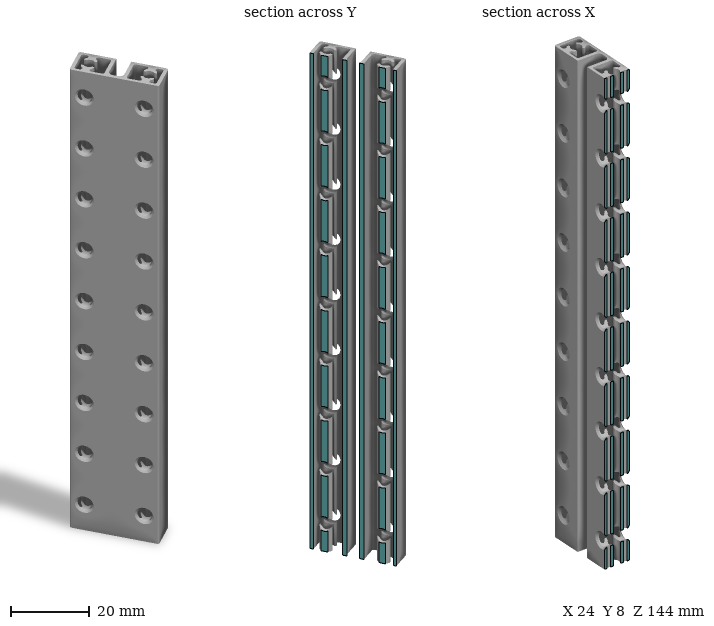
import cadquery as cq
import math

length = 144.0
holes_per_row = 9
pitch = length / holes_per_row
width = 1.5 * pitch
depth = 0.5 * pitch
cell_offset = pitch / 2

wall = 1.0
skin = 0.79
corner_round = 0.5
slot_width = 4.0
slot_round = 1.3
cavity_round = 0.6

channel_radius = 1.6
stem_end_half_width = 1.5
stem_waist_half_width = 1.0
flange_half_width = 1.7
flange_tip = 1.08
flange_shoulder = 1.6
flange_root = 2.0

hole_diameter = 4.0
countersink_diameter = 5.0
countersink_depth = (countersink_diameter - hole_diameter) / 2


def make_shell():
    """Rounded outer bar with the open slot in its back face."""
    bar = cq.Workplane("XY").rect(width, depth).extrude(length)
    bar = bar.edges("|Z").fillet(corner_round)
    slot_cut = (
        cq.Workplane("XY")
        .center(0, wall)
        .rect(slot_width, depth)
        .extrude(length)
        .edges("|Z and <Y")
        .fillet(slot_round)
    )
    return bar.cut(slot_cut)


def make_cavity(side):
    """Hollow of one cell; side is -1 or 1."""
    inner_end = slot_width / 2 + wall
    outer_end = width / 2 - wall
    return (
        cq.Workplane("XY")
        .center(side * (inner_end + outer_end) / 2, 0)
        .rect(outer_end - inner_end, depth - 2 * skin)
        .extrude(length)
        .edges("|Z")
        .fillet(cavity_round)
    )


def make_rib(side, facing):
    """Flanged rib from the back (facing = 1) or front (facing = -1) wall of a cell."""
    wall_face = facing * (depth / 2 - skin)
    buried_end = facing * (depth - skin) / 2
    stem_foot = facing * flange_root
    shoulder = facing * flange_shoulder
    tip = facing * flange_tip
    waist_point = (stem_waist_half_width, (wall_face + stem_foot) / 2)
    groove_half_width = math.sqrt(channel_radius**2 - flange_tip**2)
    groove_angle = math.asin(groove_half_width / channel_radius) / 2
    groove_middle = (
        channel_radius * math.sin(groove_angle),
        facing * channel_radius * math.cos(groove_angle),
    )
    return (
        cq.Workplane("XY")
        .center(side * cell_offset, 0)
        .moveTo(0, facing * channel_radius)
        .threePointArc(groove_middle, (groove_half_width, tip))
        .lineTo(flange_half_width, tip)
        .lineTo(flange_half_width, shoulder)
        .lineTo(stem_end_half_width, stem_foot)
        .threePointArc(waist_point, (stem_end_half_width, wall_face))
        .lineTo(stem_end_half_width, buried_end)
        .lineTo(0, buried_end)
        .mirrorY()
        .extrude(length)
    )


def make_hole_cutter():
    """Through hole along Y, countersunk at both faces, centred on the origin."""
    hole_radius = hole_diameter / 2
    countersink_radius = countersink_diameter / 2
    face = depth / 2
    return (
        cq.Workplane("XY")
        .moveTo(0, -face)
        .lineTo(countersink_radius, -face)
        .lineTo(hole_radius, countersink_depth - face)
        .lineTo(hole_radius, face - countersink_depth)
        .lineTo(countersink_radius, face)
        .lineTo(0, face)
        .close()
        .revolve(360, (0, 0, 0), (0, 1, 0))
    )


sides = (-1, 1)
result = make_shell()
for side in sides:
    result = result.cut(make_cavity(side))
    for facing in (-1, 1):
        result = result.union(make_rib(side, facing))

hole_cutter = make_hole_cutter()
for side in sides:
    for row in range(holes_per_row):
        result = result.cut(hole_cutter.translate((side * cell_offset, 0, (row + 0.5) * pitch)))